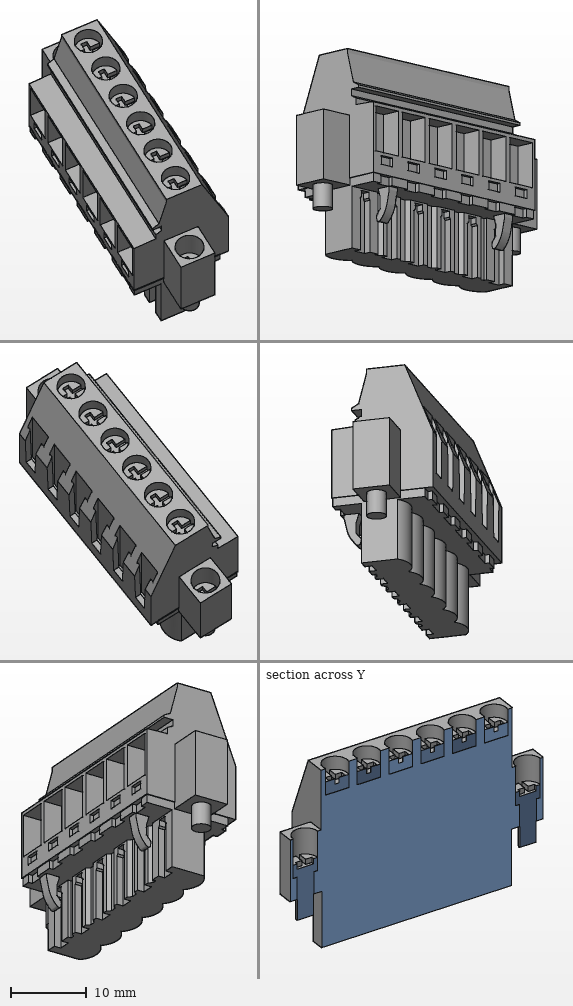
import cadquery as cq
import math


pitch = 5.0
terminal_count = 6
terminal_x = [(i - (terminal_count - 1) / 2) * pitch for i in range(terminal_count)]
cut_margin = 1.0

body_length = 30.1
body_depth = 14.05
body_height = 27.2
body_bottom_z = 9.57
rear_slope_start_z = 17.4
top_rear_y = 10.11
top_front_y = 4.82
top_lip_z = 26.6
rail_root_y, rail_root_z = 3.72, 22.44
rail_tip_y, rail_tip_z = 2.75, 21.9
rail_underside_z = 21.57
groove_y, groove_ramp_z = 4.11, 20.67
step_y, step_top_z = 3.25, 20.2
shelf_inner_z, shelf_outer_z = 19.3, 19.17

window_width = 4.22
window_bottom_z, window_top_z = 12.55, 18.65
window_depth = 2.75
opening_width = 2.1
opening_bottom_z, opening_top_z = 10.9, 12.1
opening_depth = 0.5

slot_head_width = 3.65
slot_head_front_y, slot_head_rear_y = 12.47, 13.21
slot_head_floor_z = 10.6
slot_stem_floor_width = 2.0
slot_stem_floor_z = 12.0
slot_stem_draft = 2.2

skirt_length = 29.86
skirt_bottom_z = 8.38
skirt_front_y = 0.12
skirt_rear_y = 12.85
skirt_key_width = 2.1
skirt_key_depth = 0.6

comb_front_y = 4.09
comb_cusp_y = 9.08
comb_crown_y = top_rear_y
contact_slot_width = 1.8
contact_neck_width = 1.34
contact_shoulder_z, contact_neck_z, contact_top_z = 7.05, 7.3, 8.12
contact_slot_depth = 1.0
finger_base_half = 2.1
finger_chamfer = 0.5
end_finger_half = 2.37

latch_center_x = 10.75
latch_width = 1.5
latch_root_front_y, latch_root_rear_y = 0.6, 2.67
latch_root_z = 7.9
latch_bend_y, latch_bend_z = 1.03, 6.0
latch_curve_y, latch_curve_z = 1.5, 4.95
latch_toe_front_y, latch_toe_front_z = 2.2, 4.1
latch_tip_y, latch_tip_z = 2.55, 3.92
latch_toe_rear_y, latch_toe_rear_z = 2.88, 4.05
latch_catch_y, latch_catch_z = 3.0, 4.77
latch_neck_y = 2.28
latch_neck_bottom_z, latch_neck_top_z = 5.62, 7.12

flange_outer_x = 19.9
flange_bottom_z, flange_top_z = 8.6, 18.08
flange_width = 5.05
flange_y = 6.99
flange_screw_x = (terminal_count + 1) / 2 * pitch

terminal_y = 7.5
terminal_head_diameter = 3.72
flange_head_diameter = 3.8
head_height = 2.0
terminal_recess = 2.0
flange_recess = 4.0
drive_long_width = 0.6
drive_short_width = 0.86
drive_short_length = 2.55
drive_depth = 0.8
shaft_diameter = 2.6
shaft_bottom_z = 5.4

terminal_head_top_z = body_height - terminal_recess
flange_head_top_z = flange_top_z - flange_recess


def box(x_center, width, y_start, y_end, z_start, z_end):
    """Block centred on x_center, spanning the given Y and Z ranges."""
    solid = cq.Workplane("XY").box(width, y_end - y_start, z_end - z_start)
    return solid.translate((x_center, (y_start + y_end) / 2, (z_start + z_end) / 2))


def cylinder(x, y, diameter, z_start, z_end):
    """Upright cylinder between two heights."""
    return cq.Workplane("XY", origin=(x, y, z_start)).circle(diameter / 2).extrude(z_end - z_start)


def upper_body():
    outline = [
        (0, body_bottom_z),
        (body_depth, body_bottom_z),
        (body_depth, rear_slope_start_z),
        (top_rear_y, body_height),
        (top_front_y, body_height),
        (top_front_y, top_lip_z),
        (rail_root_y, rail_root_z),
        (rail_tip_y, rail_tip_z),
        (rail_tip_y, rail_underside_z),
        (groove_y, rail_underside_z),
        (groove_y, groove_ramp_z),
        (step_y, step_top_z),
        (step_y, shelf_inner_z),
        (0, shelf_outer_z),
    ]
    return cq.Workplane("YZ").polyline(outline).close().extrude(body_length / 2, both=True)


def rear_t_slot(x):
    """Deep wide head with a shallower, drafted stem that opens to the rear face."""
    head = box(x, slot_head_width, slot_head_front_y, slot_head_rear_y, slot_head_floor_z, body_height)
    stem_height = body_height - slot_stem_floor_z
    half_floor = slot_stem_floor_width / 2
    half_top = half_floor + stem_height * math.tan(math.radians(slot_stem_draft))
    stem = (
        cq.Workplane("XZ", origin=(x, slot_head_rear_y, slot_stem_floor_z))
        .polyline([(-half_floor, 0), (half_floor, 0), (half_top, stem_height), (-half_top, stem_height)])
        .close()
        .extrude(-(body_depth - slot_head_rear_y + cut_margin))
    )
    return head.union(stem)


def skirt():
    plate = box(0, skirt_length, skirt_front_y, skirt_rear_y, skirt_bottom_z, body_bottom_z)
    for x in terminal_x:
        notch_floor_y = skirt_front_y + skirt_key_depth
        key_rear_y = skirt_rear_y + skirt_key_depth
        notch = box(x, skirt_key_width, 0, notch_floor_y, skirt_bottom_z, body_bottom_z)
        key = box(x, skirt_key_width, skirt_rear_y, key_rear_y, skirt_bottom_z, body_bottom_z)
        plate = plate.cut(notch).union(key)
    return plate


def comb_blank():
    """Plug block whose rear is one round lobe per terminal."""
    half_length = skirt_length / 2
    lobe_width = skirt_length / terminal_count
    outline = cq.Workplane("XY").moveTo(-half_length, comb_cusp_y)
    for i in range(terminal_count):
        left = -half_length + i * lobe_width
        crown = (left + lobe_width / 2, comb_crown_y)
        outline = outline.threePointArc(crown, (left + lobe_width, comb_cusp_y))
    outline = outline.lineTo(half_length, comb_front_y).lineTo(-half_length, comb_front_y).close()
    return outline.extrude(skirt_bottom_z)


def contact_slot(x):
    """Bottle-shaped slot in the front of a finger, open at the bottom."""
    half_slot = contact_slot_width / 2
    half_neck = contact_neck_width / 2
    outline = [
        (-half_slot, 0),
        (half_slot, 0),
        (half_slot, contact_shoulder_z),
        (half_neck, contact_neck_z),
        (half_neck, contact_top_z),
        (-half_neck, contact_top_z),
        (-half_neck, contact_neck_z),
        (-half_slot, contact_shoulder_z),
    ]
    slot = cq.Workplane("XZ", origin=(x, comb_front_y, 0)).polyline(outline).close()
    return slot.extrude(-contact_slot_depth)


def finger_gap(left_finger_x):
    """Groove between two fingers; its sides slope except against an end finger."""
    right_finger_x = left_finger_x + pitch
    floor_y = comb_front_y + finger_chamfer
    if left_finger_x == terminal_x[0]:
        left_floor = left_front = left_finger_x + end_finger_half
    else:
        left_floor = left_finger_x + finger_base_half
        left_front = left_floor - finger_chamfer
    if right_finger_x == terminal_x[-1]:
        right_floor = right_front = right_finger_x - end_finger_half
    else:
        right_floor = right_finger_x - finger_base_half
        right_front = right_floor + finger_chamfer
    outline = [
        (left_front, comb_front_y),
        (right_front, comb_front_y),
        (right_floor, floor_y),
        (left_floor, floor_y),
    ]
    return cq.Workplane("XY").polyline(outline).close().extrude(skirt_bottom_z)


def comb():
    block = comb_blank()
    for x in terminal_x:
        block = block.cut(contact_slot(x))
    for x in terminal_x[:-1]:
        block = block.cut(finger_gap(x))
    return block


def latch_hook(x):
    """Curved hook hanging from the skirt, with its toe turned to the rear."""
    return (
        cq.Workplane("YZ", origin=(x, 0, 0))
        .moveTo(latch_root_front_y, skirt_bottom_z)
        .lineTo(latch_root_front_y, latch_root_z)
        .lineTo(latch_bend_y, latch_bend_z)
        .threePointArc((latch_curve_y, latch_curve_z), (latch_toe_front_y, latch_toe_front_z))
        .threePointArc((latch_tip_y, latch_tip_z), (latch_toe_rear_y, latch_toe_rear_z))
        .lineTo(latch_catch_y, latch_catch_z)
        .lineTo(latch_neck_y, latch_neck_bottom_z)
        .lineTo(latch_neck_y, latch_neck_top_z)
        .lineTo(latch_root_rear_y, skirt_bottom_z)
        .close()
        .extrude(latch_width / 2, both=True)
    )


def flange(side):
    """Ear on one end of the body, bored for its screw head and shaft."""
    inner_x = skirt_length / 2
    ear = box(
        side * (inner_x + flange_outer_x) / 2,
        flange_outer_x - inner_x,
        flange_y - flange_width / 2,
        flange_y + flange_width / 2,
        flange_bottom_z,
        flange_top_z,
    )
    head_seat_z = flange_head_top_z - head_height
    head_bore = cylinder(side * flange_screw_x, flange_y, flange_head_diameter, head_seat_z, flange_top_z)
    shaft_bore = cylinder(side * flange_screw_x, flange_y, shaft_diameter, flange_bottom_z, head_seat_z)
    return ear.cut(head_bore).cut(shaft_bore)


def make_housing():
    body = upper_body()
    seat_z = terminal_head_top_z - head_height
    for x in terminal_x:
        body = body.cut(box(x, window_width, -cut_margin, window_depth, window_bottom_z, window_top_z))
        body = body.cut(box(x, opening_width, -cut_margin, opening_depth, opening_bottom_z, opening_top_z))
        body = body.cut(rear_t_slot(x))
        body = body.cut(cylinder(x, terminal_y, terminal_head_diameter, seat_z, body_height))
    body = body.union(skirt()).union(comb())
    for side in (-1, 1):
        body = body.union(latch_hook(side * latch_center_x)).union(flange(side))
    return body


def screw_head(x, y, diameter, top_z):
    """Round head with an uneven cross drive."""
    head = cylinder(x, y, diameter, top_z - head_height, top_z)
    drive_floor_z = top_z - drive_depth
    half_head = diameter / 2
    half_width = drive_short_width / 2
    long_drive = box(x, drive_long_width, y - half_head, y + half_head, drive_floor_z, top_z)
    short_drive = box(x, drive_short_length, y - half_width, y + half_width, drive_floor_z, top_z)
    return head.cut(long_drive).cut(short_drive)


def make_terminal_screw(x):
    return screw_head(x, terminal_y, terminal_head_diameter, terminal_head_top_z)


def make_flange_screw(x):
    shaft = cylinder(x, flange_y, shaft_diameter, shaft_bottom_z, flange_head_top_z - head_height)
    return screw_head(x, flange_y, flange_head_diameter, flange_head_top_z).union(shaft)


housing = make_housing()
terminal_screws = [make_terminal_screw(x) for x in terminal_x]
flange_screws = [make_flange_screw(side * flange_screw_x) for side in (-1, 1)]

result = cq.Compound.makeCompound([
    housing.val(),
    *[screw.val() for screw in terminal_screws],
    *[screw.val() for screw in flange_screws],
])